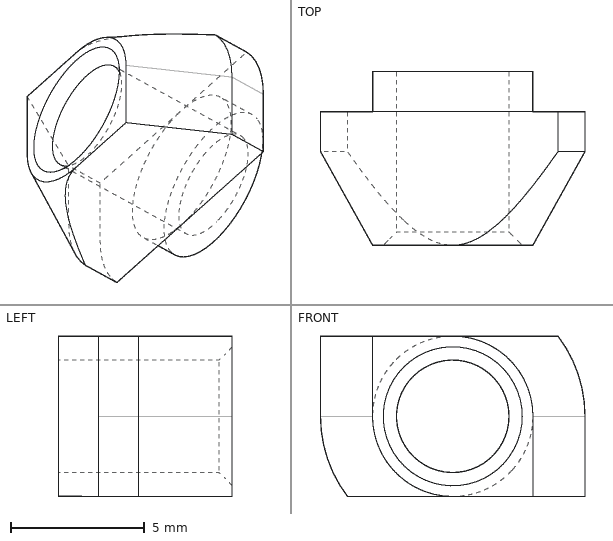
import cadquery as cq

length = 9.9
height = 6.0
depth = 6.5
boss_height = 1.5
flange_thickness = 1.49
hole_diameter = 4.2
countersink_diameter = 5.2

half_length = length / 2
half_height = height / 2
front_half_length = half_height
body_depth = depth - boss_height
taper_depth = body_depth - flange_thickness
hole_radius = hole_diameter / 2
countersink_radius = countersink_diameter / 2
countersink_depth = countersink_radius - hole_radius


def wedge_body():
    """Flange with two straight sides tapering towards the front face."""
    outline = [
        (-front_half_length, 0),
        (front_half_length, 0),
        (half_length, taper_depth),
        (half_length, body_depth),
        (-half_length, body_depth),
        (-half_length, taper_depth),
    ]
    return cq.Workplane("XY").polyline(outline).close().extrude(half_height, both=True)


def round_body():
    """Cone and cylinder that round two diagonally opposite corners."""
    profile = [
        (0, 0),
        (front_half_length, 0),
        (half_length, taper_depth),
        (half_length, body_depth),
        (0, body_depth),
    ]
    return cq.Workplane("XY").polyline(profile).close().revolve(360, (0, 0, 0), (0, 1, 0))


def corner_block(x_side, z_side):
    """Block filling one quarter of the body around the bore axis."""
    return cq.Workplane("XY").box(half_length, body_depth, half_height).translate(
        (x_side * half_length / 2, body_depth / 2, z_side * half_height / 2)
    )


def bore():
    """Through hole with a countersink at the front face."""
    profile = [
        (0, 0),
        (countersink_radius, 0),
        (hole_radius, countersink_depth),
        (hole_radius, depth),
        (0, depth),
    ]
    return cq.Workplane("XY").polyline(profile).close().revolve(360, (0, 0, 0), (0, 1, 0))


body = wedge_body()
for side in (-1, 1):
    rounded_corner = corner_block(side, side)
    body = body.cut(rounded_corner.cut(round_body()))

boss = cq.Workplane("XZ", origin=(0, body_depth, 0)).circle(half_height).extrude(-boss_height)

result = body.union(boss).cut(bore())